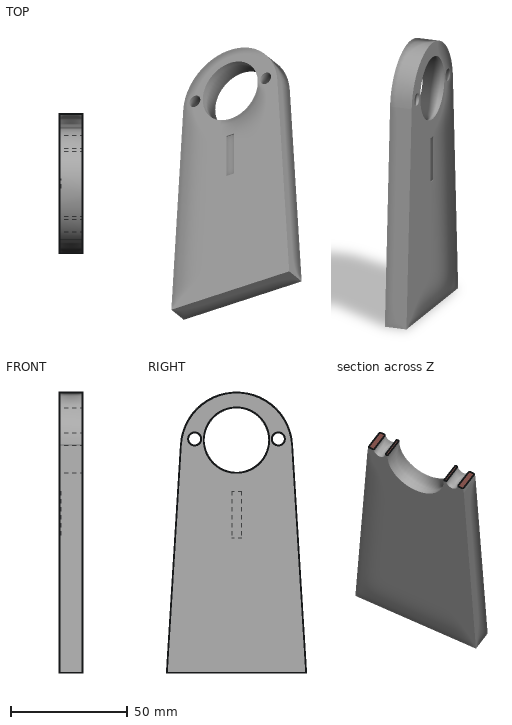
import cadquery as cq
import math

thickness = 10.0
base_width = 60.0
height = 120.52
crown_radius = 24.0

bore_diameter = 28.0
bore_height = 100.0
side_hole_diameter = 5.5
side_hole_spacing = 36.0
side_hole_height = 100.5

recess_width = 4.0
recess_length = 20.0
recess_bottom = 58.0
recess_depth = 0.5


def make_plate():
    """Tapered plate whose straight sides run tangent into the round crown."""
    half_base = base_width / 2
    crown_center = height - crown_radius
    corner_distance = math.hypot(half_base, crown_center)
    taper = math.asin(half_base / corner_distance) - math.asin(crown_radius / corner_distance)
    tangent_y = crown_radius * math.cos(taper)
    tangent_z = crown_center + crown_radius * math.sin(taper)
    return (
        cq.Workplane("YZ")
        .moveTo(-half_base, 0)
        .lineTo(half_base, 0)
        .lineTo(tangent_y, tangent_z)
        .threePointArc((0, height), (-tangent_y, tangent_z))
        .close()
        .extrude(thickness)
    )


def make_through_hole(diameter, y, z):
    """Cylinder through the full plate thickness, centred at (y, z)."""
    return cq.Workplane("YZ").center(y, z).circle(diameter / 2).extrude(thickness)


def make_recess():
    """Block that cuts the shallow recess into the -X face."""
    recess_center = recess_bottom + recess_length / 2
    return (
        cq.Workplane("YZ")
        .center(0, recess_center)
        .rect(recess_width, recess_length)
        .extrude(recess_depth)
    )


result = make_plate()
result = result.cut(make_through_hole(bore_diameter, 0, bore_height))
for side in (-1, 1):
    hole_y = side * side_hole_spacing / 2
    result = result.cut(make_through_hole(side_hole_diameter, hole_y, side_hole_height))
result = result.cut(make_recess())